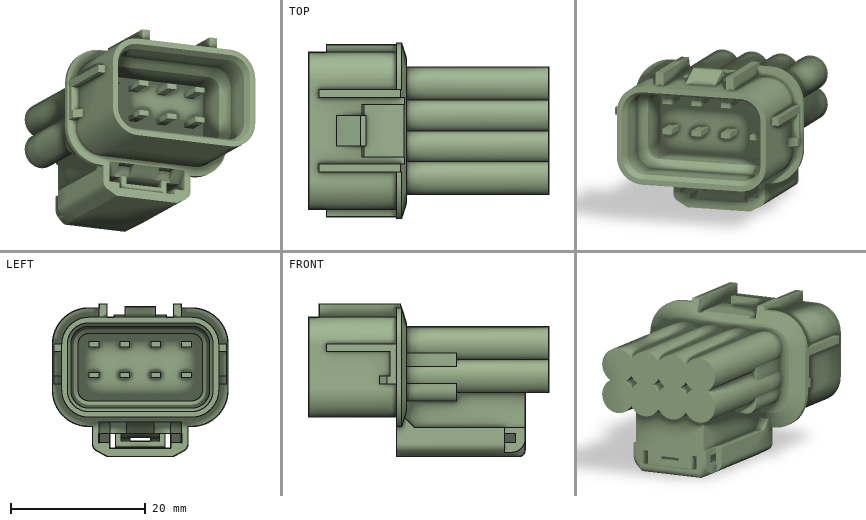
import cadquery as cq

shell_width = 23.4
shell_height = 14.9
shell_radius = 4.05

flange_front = 13.08
flange_rear = 14.6
flange_overhang = 1.4
flange_chamfer_length = 0.75
flange_chamfer_height = 2.35

rim_wall = 0.83
lead_in_inset = 1.35
throat_inset = 2.43
lead_in_depth = 1.1
taper_start = 5.7
taper_end = 7.5
cavity_floor = 13.2

columns = 4
row_pitch = 4.6
top_row_z = 3.42
bottom_row_z = top_row_z - row_pitch
contact_width = 1.45
contact_height = 0.76
contact_length = 4
wire_radius = 2.61
wire_end = 35.8

block_end = 22.06
block_width = 18.36
block_bottom = -5.07
block_top = top_row_z
block_radius = 1.75

rail_front = 1.55
rail_inner = 4.92
rail_outer = 6.13
rail_top = 9.43

ramp_front = 4.16
ramp_crest = 7.75
ramp_rear = 8.55
ramp_half_width = 2.3
ramp_top = 9.04
pad_front = 7.99
pad_slope_length = 0.25
pad_half_width = 3.9
pad_top = 7.8

rib_outer_y = 12.83
rib_front = 2.65
rib_top = 3.48
rib_bottom = 2.35
leg_front = 12.15
foot_front = 10.55
foot_nose_length = 1.1
foot_top = -1.3
foot_bottom = -2.5

housing_end = 32.28
housing_half_width = 7.13
housing_top = -8.95
housing_bottom = -13.32
housing_shoulder_end = 15.75
housing_shoulder_rise = 1.8
housing_bevel_width = 2.2
housing_bevel_height = 1.2
housing_edge_radius = 1.15
housing_end_radius = 0.95
web_half_width = 5.7
web_top = bottom_row_z
tab_start = 29.2
tab_half_width = 6.1
tab_corner_radius = 2.05

mouth_top = -8.15
channel_top = -9.9
channel_bottom = -12.05
channel_half_width = 4.53
side_slot_half_width = 6.17
side_slot_bottom = -11.25
side_slot_end = 30.8
mouth_middle_half_width = 2.05

lever_setback = 1.0
lever_front = flange_front + lever_setback
lever_half_width = 3.69
lever_bottom_gap = 0.1
lever_pocket_half_width = 2.87
lever_pocket_bottom = -11.0
lever_pocket_depth = 3.0
lever_pocket_drop = 0.8
lever_hole_half_width = 1.49
lever_hole_top = -10.5

shell_half_width = shell_width / 2
shell_top = shell_height / 2


def box(x0, x1, y0, y1, z0, z1):
    """Box between two opposite corners."""
    return cq.Workplane("XY").box(x1 - x0, y1 - y0, z1 - z0, centered=False).translate((x0, y0, z0))


def centred_box(x0, x1, half_width, z0, z1):
    """Box that is symmetric about Y = 0."""
    return box(x0, x1, -half_width, half_width, z0, z1)


def side_profile(points, y0, y1):
    """Prism with an outline in X and Z, running from y0 to y1."""
    return cq.Workplane("XZ", origin=(0, y1, 0)).polyline(points).close().extrude(y1 - y0)


def with_mirror(body):
    """The body together with its mirror image across Y = 0."""
    return body.union(body.mirror("XZ"))


def shell_outline(inset):
    """Shell outline moved inward by the inset (outward if negative)."""
    outline = cq.Sketch().rect(shell_width - 2 * inset, shell_height - 2 * inset)
    return outline.vertices().fillet(shell_radius - inset)


def shell_prism(x0, x1, inset):
    """Straight prism on the shell outline."""
    return cq.Workplane("YZ", origin=(x0, 0, 0)).placeSketch(shell_outline(inset)).extrude(x1 - x0)


def shell_taper(x0, inset0, x1, inset1):
    """Tapered body between two shell outlines."""
    far_outline = shell_outline(inset1).moved(cq.Location(cq.Vector(0, 0, x1 - x0)))
    return cq.Workplane("YZ", origin=(x0, 0, 0)).placeSketch(shell_outline(inset0), far_outline).loft()


def contact_positions():
    """Y and Z of every contact and its wire."""
    first_y = -(columns - 1) / 2 * row_pitch
    return [(first_y + i * row_pitch, z) for i in range(columns) for z in (top_row_z, bottom_row_z)]


def flanged_shell():
    """Shell with its rear flange, which is interrupted between the guide rails."""
    chamfer_start = flange_rear - flange_chamfer_length
    rear_inset = flange_chamfer_height - flange_overhang
    flange = shell_prism(flange_front, chamfer_start, -flange_overhang)
    flange = flange.union(shell_taper(chamfer_start, -flange_overhang, flange_rear, rear_inset))
    flange = flange.cut(centred_box(flange_front, flange_rear, rail_inner, shell_top, rail_top))
    return shell_prism(0, chamfer_start, 0).union(flange)


def cavity():
    """Stepped opening of the shell: lead-in, straight throat, taper and deep pocket."""
    void = shell_taper(0, rim_wall, lead_in_depth, lead_in_inset)
    void = void.union(shell_prism(lead_in_depth, taper_start, lead_in_inset))
    void = void.union(shell_taper(taper_start, lead_in_inset, taper_end, throat_inset))
    return void.union(shell_prism(taper_end, cavity_floor, throat_inset))


def flange_chamfer_x(z):
    """X of the flange's rear chamfer at height z on the upper side, also continued above the flange."""
    depth = shell_top + flange_overhang - z
    slope = flange_chamfer_length / flange_chamfer_height
    return flange_rear - flange_chamfer_length + depth * slope


def guide_rails():
    """Rails on top of the shell, with rear ends sloped like the flange chamfer."""
    foot_z = shell_top + flange_overhang - flange_chamfer_height
    outline = [
        (rail_front, foot_z),
        (rail_front, rail_top),
        (flange_chamfer_x(rail_top), rail_top),
        (flange_rear, foot_z),
    ]
    return with_mirror(side_profile(outline, rail_inner, rail_outer))


def locking_ramp():
    """Ramp that rises to a short crest, and the thin pad behind it."""
    ramp = side_profile(
        [(ramp_front, shell_top), (ramp_crest, ramp_top), (ramp_rear, ramp_top), (ramp_rear, shell_top)],
        -ramp_half_width,
        ramp_half_width,
    )
    pad = side_profile(
        [
            (pad_front, shell_top),
            (pad_front + pad_slope_length, pad_top),
            (flange_chamfer_x(pad_top), pad_top),
            (flange_chamfer_x(shell_top), shell_top),
        ],
        -pad_half_width,
        pad_half_width,
    )
    return ramp.union(pad)


def side_ribs():
    """L-shaped rib on each side: a long arm, a leg along the flange and a wedge-nosed foot."""
    arm = box(rib_front, flange_front, shell_half_width, rib_outer_y, rib_bottom, rib_top)
    leg = box(leg_front, flange_front, shell_half_width, rib_outer_y, foot_bottom, rib_top)
    foot_outline = [
        (foot_front, shell_half_width),
        (foot_front + foot_nose_length, rib_outer_y),
        (flange_front, rib_outer_y),
        (flange_front, shell_half_width),
    ]
    foot = cq.Workplane("XY", origin=(0, 0, foot_bottom)).polyline(foot_outline).close()
    foot = foot.extrude(foot_top - foot_bottom)
    return with_mirror(arm.union(leg).union(foot))


def rear_block():
    """Block behind the flange with rounded lower edges."""
    block = centred_box(cavity_floor, block_end, block_width / 2, block_bottom, block_top)
    return block.edges("|X and <Z").fillet(block_radius)


def wires():
    """Round wires leaving the connector at the rear, each slightly overlapping its neighbours."""
    start = flange_rear - flange_chamfer_length
    bundle = cq.Workplane("YZ", origin=(start, 0, 0))
    for y, z in contact_positions():
        wire = cq.Workplane("YZ", origin=(start, y, z)).circle(wire_radius).extrude(wire_end - start)
        bundle = bundle.union(wire)
    return bundle


def contacts():
    """Flat contact blades standing on the cavity floor."""
    profile = cq.Workplane("YZ", origin=(cavity_floor - contact_length, 0, 0))
    return profile.pushPoints(contact_positions()).rect(contact_width, contact_height).extrude(contact_length)


def tab_section(bottom, corner_radius):
    """End tab outline in X and Z, with its lower rear corner rounded."""
    length = housing_end - tab_start
    height = housing_top - bottom
    centre = cq.Vector(tab_start + length / 2, bottom + height / 2, 0)
    outline = cq.Sketch().rect(length, height).vertices(">X and <Y").fillet(corner_radius)
    return outline.moved(cq.Location(centre))


def tab_flank():
    """Bevelled side of the end tab, whose corner rounding grows towards the outer face."""
    bevel_half_width = housing_half_width - housing_bevel_width
    flank_width = tab_half_width - bevel_half_width
    outer_bottom = housing_bottom + flank_width * housing_bevel_height / housing_bevel_width
    inner = tab_section(housing_bottom, housing_end_radius)
    inner = inner.moved(cq.Location(cq.Vector(0, 0, flank_width)))
    outer = tab_section(outer_bottom, tab_corner_radius)
    return cq.Workplane("XZ", origin=(0, tab_half_width, 0)).placeSketch(outer, inner).loft()


def latch_housing():
    """Bevelled lower box, the narrower web that hangs it from the wires, and its narrow end tab."""
    shoulder_z = housing_top + housing_shoulder_rise
    shoulder_x = housing_shoulder_end - housing_shoulder_rise
    side_outline = [
        (flange_front, housing_bottom),
        (housing_end, housing_bottom),
        (housing_end, housing_top),
        (housing_shoulder_end, housing_top),
        (shoulder_x, shoulder_z),
        (flange_front, shoulder_z),
    ]
    bevel_half_width = housing_half_width - housing_bevel_width
    bevel_z = housing_bottom + housing_bevel_height
    end_outline = [
        (-housing_half_width, shell_top),
        (-housing_half_width, bevel_z),
        (-bevel_half_width, housing_bottom),
        (bevel_half_width, housing_bottom),
        (housing_half_width, bevel_z),
        (housing_half_width, shell_top),
    ]
    bar = cq.Workplane("YZ", origin=(flange_front, 0, 0)).polyline(end_outline).close()
    bar = bar.extrude(housing_end - flange_front)
    bar = bar.edges("|X").edges(">>Z[1]").fillet(housing_edge_radius)
    housing = bar.intersect(side_profile(side_outline, -housing_half_width, housing_half_width))
    housing = housing.edges("|Y and >X and <Z").fillet(housing_end_radius)

    tab_space = box(
        tab_start, housing_end, bevel_half_width, housing_half_width, housing_bottom, housing_top
    )
    housing = housing.cut(with_mirror(tab_space)).union(with_mirror(tab_flank()))
    web = centred_box(flange_front, housing_end, web_half_width, housing_top, web_top)
    return housing.union(web)


def latch_openings():
    """Sloped mouth with two square pockets, through channel and blind side slots of the latch housing."""
    mouth_height = mouth_top - channel_top
    mouth_outline = [
        (flange_front, channel_top),
        (flange_front, mouth_top),
        (flange_front + mouth_height, channel_top),
    ]
    mouth = side_profile(mouth_outline, -side_slot_half_width, side_slot_half_width)
    pocket = box(
        flange_front,
        flange_front + mouth_height,
        mouth_middle_half_width,
        channel_half_width,
        channel_top,
        mouth_top,
    )
    mouth = mouth.union(with_mirror(pocket))
    channel = centred_box(flange_front, housing_end, channel_half_width, channel_bottom, channel_top)
    slots = centred_box(flange_front, side_slot_end, side_slot_half_width, side_slot_bottom, channel_top)
    return mouth.union(channel).union(slots)


def latch_lever():
    """Lever in the channel, with a sloped front pocket and a window through it."""
    lever_bottom = channel_bottom + lever_bottom_gap
    lever = centred_box(lever_front, housing_end, lever_half_width, lever_bottom, channel_top)
    pocket_outline = [
        (lever_front, lever_pocket_bottom),
        (lever_front, channel_top),
        (lever_front + lever_pocket_depth, channel_top - lever_pocket_drop),
        (lever_front + lever_pocket_depth, lever_pocket_bottom),
    ]
    pocket = side_profile(pocket_outline, -lever_pocket_half_width, lever_pocket_half_width)
    window = centred_box(
        lever_front, housing_end, lever_hole_half_width, lever_pocket_bottom, lever_hole_top
    )
    return lever.cut(pocket).cut(window)


result = flanged_shell()
result = result.union(rear_block())
result = result.union(wires())
result = result.union(latch_housing())
result = result.cut(latch_openings())
result = result.union(latch_lever())
result = result.cut(cavity())
result = result.union(guide_rails())
result = result.union(locking_ramp())
result = result.union(side_ribs())
result = result.union(contacts())